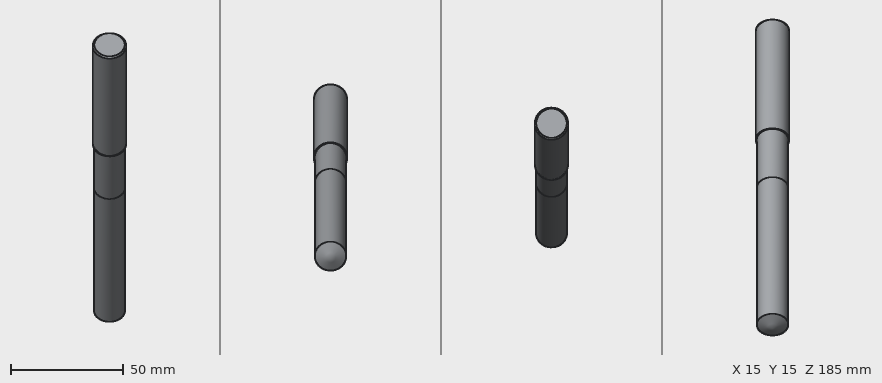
import cadquery as cq

total_length = 185.0
shank_diameter = 15.0
shank_length = 68.0
shank_chamfer = 0.7
drill_diameter = 14.0
fluted_length = 87.1
point_height = 2.5

shank_radius = shank_diameter / 2
drill_radius = drill_diameter / 2
shank_bottom = total_length - shank_length


def make_cutting_body():
    """Plain cylinder ending in a conical drill point."""
    return (
        cq.Workplane("XZ")
        .moveTo(0, 0)
        .lineTo(drill_radius, point_height)
        .lineTo(drill_radius, fluted_length)
        .lineTo(0, fluted_length)
        .close()
        .revolve(360, (0, 0, 0), (0, 1, 0))
    )


def make_shank_body():
    """Neck of drill diameter under a thicker shank with a chamfered top end."""
    neck = (
        cq.Workplane("XY")
        .workplane(offset=fluted_length)
        .circle(drill_radius)
        .extrude(shank_bottom - fluted_length)
    )
    shank = (
        cq.Workplane("XY")
        .workplane(offset=shank_bottom)
        .circle(shank_radius)
        .extrude(shank_length)
        .faces(">Z")
        .chamfer(shank_chamfer)
    )
    return neck.union(shank)


cutting_body = make_cutting_body()
shank_body = make_shank_body()

result = cq.Compound.makeCompound([cutting_body.val(), shank_body.val()])